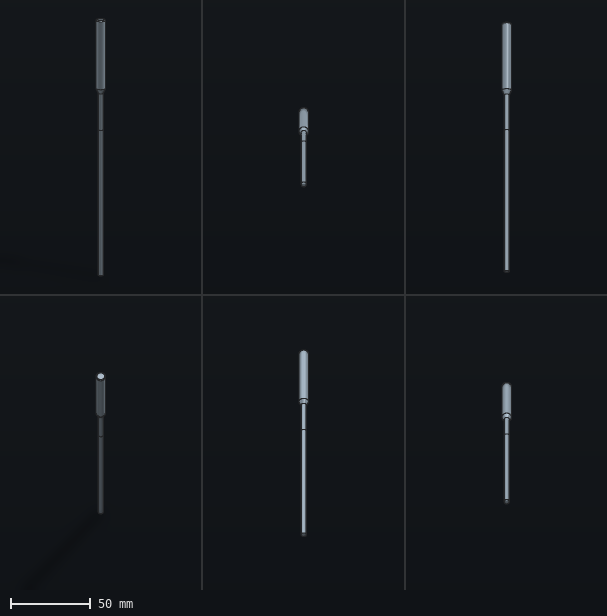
import cadquery as cq
import math

shank_diameter = 6.0
drill_diameter = 3.2
point_angle = 140.0
length_above_point = 167.0
shank_length = 45.0
shank_chamfer = 0.6
taper_length = 3.1
cutting_length = 95.0

shank_radius = shank_diameter / 2
drill_radius = drill_diameter / 2
point_height = drill_radius / math.tan(math.radians(point_angle / 2))
cutting_top = point_height + cutting_length
shank_top = point_height + length_above_point
shank_bottom = shank_top - shank_length
taper_bottom = shank_bottom - taper_length


def revolve_profile(points):
    """Revolve a closed (radius, height) outline about the Z axis."""
    return cq.Workplane("XZ").polyline(points).close().revolve(360, (0, 0), (0, 1))


def make_cutting_body():
    """Cutting envelope: a cylinder ending in the conical drill point."""
    return revolve_profile([
        (0, 0),
        (drill_radius, point_height),
        (drill_radius, cutting_top),
        (0, cutting_top),
    ])


def make_shank_body():
    """Neck, taper and chamfered shank, standing on the cutting body."""
    return revolve_profile([
        (0, cutting_top),
        (drill_radius, cutting_top),
        (drill_radius, taper_bottom),
        (shank_radius, shank_bottom),
        (shank_radius, shank_top - shank_chamfer),
        (shank_radius - shank_chamfer, shank_top),
        (0, shank_top),
    ])


cutting_body = make_cutting_body()
shank_body = make_shank_body()

result = cq.Compound.makeCompound([cutting_body.val(), shank_body.val()])